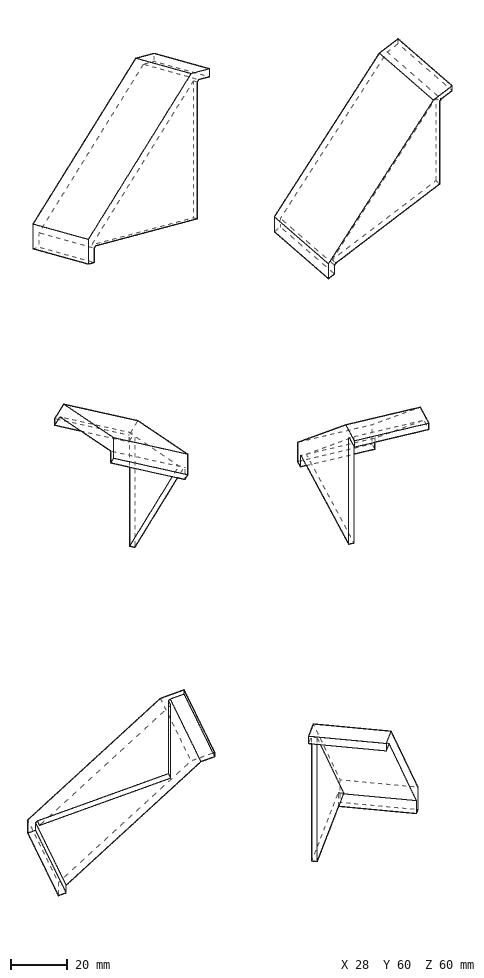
import cadquery as cq

width = 28.0
side = 60.0

tab_thickness = 3.0
tab_length = 9.12
tab_inner_length = 5.3

wall_setback = 6.0
wall_thickness = 2.0


def make_plate():
    """Sloped plate: its YZ outline, extruded along X."""
    outline = [
        (0, 0),
        (0, tab_length),
        (side - tab_length, side),
        (side, side),
        (side, side - tab_thickness),
        (side - tab_inner_length, side - tab_thickness),
        (tab_thickness, tab_inner_length),
        (tab_thickness, 0),
    ]
    return cq.Workplane("YZ").polyline(outline).close().extrude(width)


def make_wall():
    """Right triangle under the plate, its long side buried midway through the plate."""
    slope_offset = (tab_length + tab_inner_length - tab_thickness) / 2
    far_edge = side - wall_setback
    outline = [
        (wall_setback - slope_offset, wall_setback),
        (far_edge, wall_setback),
        (far_edge, far_edge + slope_offset),
    ]
    wall = cq.Workplane("YZ").polyline(outline).close().extrude(wall_thickness)
    return wall.translate((width - wall_thickness, 0, 0))


result = make_plate().union(make_wall()).translate((-width / 2, -side / 2, -side / 2))